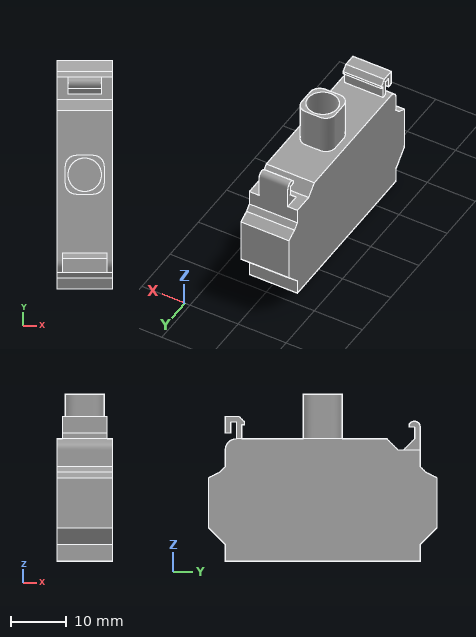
import cadquery as cq
import math

body_width = 10.0
body_half_length = 17.5
body_height = 22.0
bulge_half_length = 20.5
bulge_bend_half_length = 18.5
foot_height = 3.0
bulge_bottom = foot_height + bulge_half_length - body_half_length
bulge_top = 15.0
bulge_bend_height = 16.0
shoulder_height = bulge_bend_height + bulge_bend_half_length - body_half_length
front_edge_radius = 2.0

ledge_depth = 2.0
ledge_height = body_height - ledge_depth
ledge_inner_y = 13.5
ledge_top_y = ledge_inner_y - ledge_depth

rear_hook_width = 6.0
rear_stem_thickness = 1.0
rear_brace_size = 2.0
rear_lip_overhang = 1.0
rear_lip_underside = 24.1
rear_lip_edge_height = 0.5

front_clip_width = 8.0
front_clip_top = 26.0
front_leg_thickness = 1.0
front_slot_width = 1.0
front_slot_top = 25.0
front_leg_bottom = 23.0
front_lip_overhang = 0.5
front_lip_height = 0.5
front_lip_chamfer = front_clip_top - front_slot_top

post_side = 7.0
post_corner_radius = 2.0
post_top = 30.0
post_bore_diameter = 6.0


def extrude_across(outline, width):
    """Close a Y-Z outline and extrude it along X, centred on X = 0."""
    return outline.close().extrude(width / 2, both=True)


def make_body():
    front_end = [
        (-body_half_length, 0),
        (-body_half_length, foot_height),
        (-bulge_half_length, bulge_bottom),
        (-bulge_half_length, bulge_top),
        (-bulge_bend_half_length, bulge_bend_height),
        (-body_half_length, shoulder_height),
    ]
    rear_end = [(-y, z) for y, z in reversed(front_end)]
    arc_center_y = -body_half_length + front_edge_radius
    arc_center_z = body_height - front_edge_radius
    arc_offset = front_edge_radius * math.sqrt(0.5)
    outline = (
        cq.Workplane("YZ")
        .polyline(front_end)
        .lineTo(-body_half_length, arc_center_z)
        .threePointArc(
            (arc_center_y - arc_offset, arc_center_z + arc_offset),
            (arc_center_y, body_height),
        )
        .lineTo(ledge_top_y, body_height)
        .lineTo(ledge_inner_y, ledge_height)
        .lineTo(body_half_length, ledge_height)
    )
    for y, z in rear_end:
        outline = outline.lineTo(y, z)
    return extrude_across(outline, body_width)


def make_rear_hook():
    outer_y = body_half_length
    stem_y = outer_y - rear_stem_thickness
    lip_y = stem_y - rear_lip_overhang
    crown_edge_z = rear_lip_underside + rear_lip_edge_height
    outline = (
        cq.Workplane("YZ")
        .moveTo(outer_y, ledge_height)
        .lineTo(outer_y, rear_lip_underside)
        .tangentArcPoint((lip_y, crown_edge_z), relative=False)
        .lineTo(lip_y, rear_lip_underside)
        .lineTo(stem_y, rear_lip_underside)
        .lineTo(stem_y, ledge_height + rear_brace_size)
        .lineTo(stem_y - rear_brace_size, ledge_height)
    )
    return extrude_across(outline, rear_hook_width)


def make_front_clip():
    outer_y = -body_half_length
    slot_outer_y = outer_y + front_leg_thickness
    slot_inner_y = slot_outer_y + front_slot_width
    stem_y = slot_inner_y + front_leg_thickness
    lip_y = stem_y + front_lip_overhang
    lip_top = front_clip_top - front_lip_chamfer
    lip_bottom = lip_top - front_lip_height
    outline = cq.Workplane("YZ").polyline([
        (outer_y, front_leg_bottom),
        (outer_y, front_clip_top),
        (lip_y - front_lip_chamfer, front_clip_top),
        (lip_y, lip_top),
        (lip_y, lip_bottom),
        (stem_y, lip_bottom),
        (stem_y, body_height),
        (slot_inner_y, body_height),
        (slot_inner_y, front_slot_top),
        (slot_outer_y, front_slot_top),
        (slot_outer_y, front_leg_bottom),
    ])
    return extrude_across(outline, front_clip_width)


def make_post():
    post_height = post_top - body_height
    base = cq.Workplane("XY").workplane(offset=body_height)
    block = base.rect(post_side, post_side).extrude(post_height)
    block = block.edges("|Z").fillet(post_corner_radius)
    bore = base.circle(post_bore_diameter / 2).extrude(post_height)
    return block.cut(bore)


result = make_body().union(make_rear_hook()).union(make_front_clip()).union(make_post())